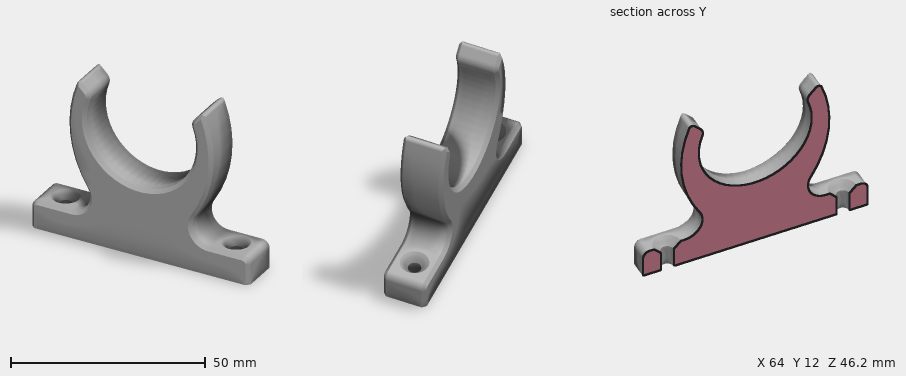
import cadquery as cq
import math

THICKNESS = 12.0
BASE_LENGTH = 63.97
BASE_HEIGHT = 8.0
CLIP_HEIGHT = 46.23
EDGE_CHAMFER = 1.0

BORE_RADIUS = 16.0
BORE_CENTER_Z = 36.0

FLANK_RADIUS = 33.0
FLANK_HALF_WIDTH = 21.15
FLANK_WIDEST_Z = 33.6

NECK_RADIUS = 5.0
BASE_CORNER_RADIUS = 2.0
TIP_RADIUS = 1.0
LIP_RADIUS = 2.5

HOLE_SPACING = 50.0
HOLE_DIAMETER = 3.5
COUNTERSINK_DIAMETER = 7.6
COUNTERSINK_ANGLE = 90.0

FLANK_CENTER_X = FLANK_HALF_WIDTH - FLANK_RADIUS


def flank_offset_x(z, offset):
    """X at height z of a curve lying `offset` outside the +X flank arc."""
    rise = z - FLANK_WIDEST_Z
    return FLANK_CENTER_X + math.sqrt((FLANK_RADIUS + offset) ** 2 - rise ** 2)


NECK_CENTER_Z = BASE_HEIGHT + NECK_RADIUS
NECK_CENTER_X = flank_offset_x(NECK_CENTER_Z, NECK_RADIUS)

TIP_CENTER_Z = CLIP_HEIGHT - TIP_RADIUS
TIP_CENTER_X = flank_offset_x(TIP_CENTER_Z, -TIP_RADIUS)
LEAD_IN_RISE = TIP_CENTER_Z - TIP_CENTER_X + TIP_RADIUS * math.sqrt(2)


def lead_in_crossing(center_x, center_z, radius):
    """Upper crossing of the lead-in plane with a circle, as (x, z)."""
    drop = center_z - LEAD_IN_RISE
    mean = (center_x + drop) / 2
    product = (center_x ** 2 + drop ** 2 - radius ** 2) / 2
    x = mean + math.sqrt(mean ** 2 - product)
    return x, x + LEAD_IN_RISE


def mirrored(point):
    """Mirror image of an (x, z) point across the midplane."""
    return -point[0], point[1]


def neck_point(angle):
    """Point of the +X neck arc at the given angle about its centre."""
    return (
        NECK_CENTER_X + NECK_RADIUS * math.cos(angle),
        NECK_CENTER_Z + NECK_RADIUS * math.sin(angle),
    )


BASE_CORNER = (BASE_LENGTH / 2, BASE_HEIGHT)
TIP_CORNER = lead_in_crossing(FLANK_CENTER_X, FLANK_WIDEST_Z, FLANK_RADIUS)
LIP_CORNER = lead_in_crossing(0, BORE_CENTER_Z, BORE_RADIUS)


def make_profile():
    """Clip outline in the XZ plane, with the tip, lip and base corners still sharp."""
    end_angle = math.atan2(FLANK_WIDEST_Z - NECK_CENTER_Z, FLANK_CENTER_X - NECK_CENTER_X)
    start_angle = 3 * math.pi / 2
    neck_start = neck_point(start_angle)
    neck_mid = neck_point((start_angle + end_angle) / 2)
    neck_end = neck_point(end_angle)
    flank_mid = (FLANK_HALF_WIDTH, FLANK_WIDEST_Z)
    bore_bottom = (0, BORE_CENTER_Z - BORE_RADIUS)
    return (
        cq.Workplane("XZ")
        .moveTo(-BASE_LENGTH / 2, 0)
        .lineTo(BASE_LENGTH / 2, 0)
        .lineTo(*BASE_CORNER)
        .lineTo(*neck_start)
        .threePointArc(neck_mid, neck_end)
        .threePointArc(flank_mid, TIP_CORNER)
        .lineTo(*LIP_CORNER)
        .threePointArc(bore_bottom, mirrored(LIP_CORNER))
        .lineTo(*mirrored(TIP_CORNER))
        .threePointArc(mirrored(flank_mid), mirrored(neck_end))
        .threePointArc(mirrored(neck_mid), mirrored(neck_start))
        .lineTo(*mirrored(BASE_CORNER))
        .close()
    )


def round_corners(body, corner, radius):
    """Round the edge along Y at an outline corner and at its mirror image."""
    for x, z in (corner, mirrored(corner)):
        body = body.edges(cq.selectors.NearestToPointSelector((x, 0, z))).fillet(radius)
    return body


def make_body():
    body = make_profile().extrude(THICKNESS / 2, both=True)
    body = round_corners(body, BASE_CORNER, BASE_CORNER_RADIUS)
    body = round_corners(body, LIP_CORNER, LIP_RADIUS)
    body = body.faces("<Y or >Y").edges("not(<Z)").chamfer(EDGE_CHAMFER)
    return round_corners(body, TIP_CORNER, TIP_RADIUS)


def make_hole_cutter(x):
    """Through hole with a conical countersink opening at the base top."""
    hole_radius = HOLE_DIAMETER / 2
    countersink_radius = COUNTERSINK_DIAMETER / 2
    countersink_depth = (countersink_radius - hole_radius) / math.tan(math.radians(COUNTERSINK_ANGLE / 2))
    half_section = (
        cq.Workplane("XZ")
        .lineTo(hole_radius, 0)
        .lineTo(hole_radius, BASE_HEIGHT - countersink_depth)
        .lineTo(countersink_radius, BASE_HEIGHT)
        .lineTo(0, BASE_HEIGHT)
        .close()
    )
    return half_section.revolve(360, (0, 0, 0), (0, 1, 0)).translate((x, 0, 0))


result = make_body()
for hole_x in (-HOLE_SPACING / 2, HOLE_SPACING / 2):
    result = result.cut(make_hole_cutter(hole_x))